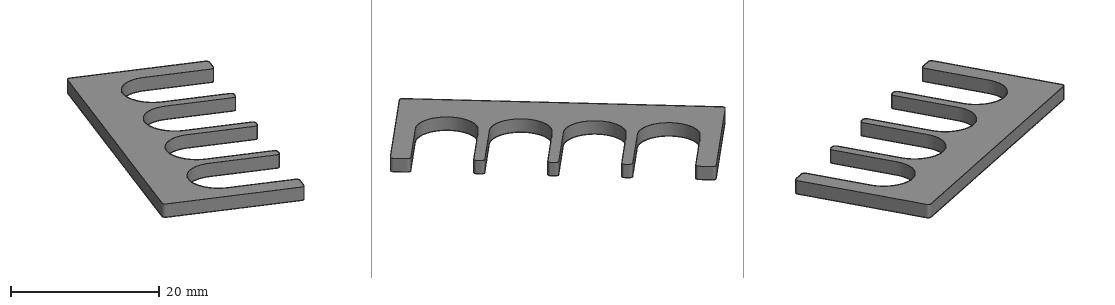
import cadquery as cq

length = 44.0
width = 20.0
thickness = 2.0
corner_radius = 0.5

slot_count = 4
slot_pitch = 10.0
slot_width = 8.5
slot_radius = slot_width / 2
slot_arc_center_y = 0.0


def slot_cutter(center_x):
    """Solid that cuts one slot through the plate and out of its +Y edge."""
    left = center_x - slot_radius
    right = center_x + slot_radius
    return (
        cq.Workplane("XY")
        .moveTo(left, width / 2)
        .lineTo(left, slot_arc_center_y)
        .threePointArc((center_x, slot_arc_center_y - slot_radius), (right, slot_arc_center_y))
        .lineTo(right, width / 2)
        .close()
        .extrude(thickness)
    )


plate = cq.Workplane("XY").box(length, width, thickness, centered=(True, True, False))

for index in range(slot_count):
    plate = plate.cut(slot_cutter((index - (slot_count - 1) / 2) * slot_pitch))

finger_tips = plate.faces(">Y").edges("|Z")
rear_corners = plate.faces("<Y").edges("|Z")
result = plate.newObject(finger_tips.vals() + rear_corners.vals()).fillet(corner_radius)